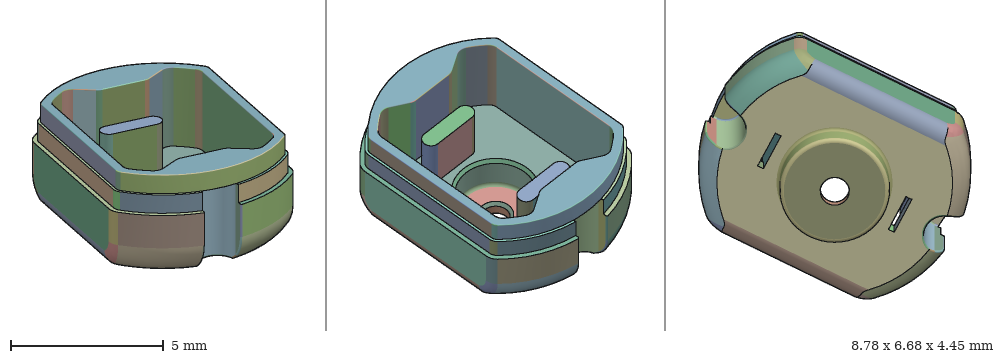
import cadquery as cq
import math

TOTAL_HEIGHT = 4.45
BODY_BOTTOM = 0.895
TIER_HEIGHT = 0.67
MIDDLE_TOP = TOTAL_HEIGHT - TIER_HEIGHT
BODY_TOP = MIDDLE_TOP - TIER_HEIGHT

LENGTH = 8.78
NOTCH_MOUTH_HALF_WIDTH = 0.71
BODY_RADIUS = math.hypot(LENGTH / 2, NOTCH_MOUTH_HALF_WIDTH)
BODY_HALF_WIDTH = 3.34
FLAT_FILLET = 0.55
UNDERSIDE_RADIUS = 1.17
UNDERSIDE_RISE = 1.02

MIDDLE_INSET = 0.17
TOP_INSET = 0.26
RIM_ROUND = 0.03

WALL = 0.34
POCKET_RADIUS = BODY_RADIUS - TOP_INSET - WALL
POCKET_HALF_WIDTH = BODY_HALF_WIDTH - TOP_INSET - WALL
POCKET_FLOOR = 1.59
WAIST_HALF_LENGTH = 2.84
WAIST_HALF_WIDTH = 0.89
WAIST_ANGLE = math.radians(60)
POCKET_CORNER = 0.395

BAR_WIDTH = 0.62
BAR_LENGTH = 2.24
BAR_TOP = 3.39
BAR_CENTRE_X = 1.98
BAR_OFFSET_Y = 0.17
SLOT_WIDTH = 0.21
SLOT_LENGTH = 1.26

BOSS_RADIUS = 1.79
BOSS_ROOT_FILLET = 0.105
BOSS_TIP_FILLET = 0.13
BORE_RADIUS = 1.335
BORE_FLOOR = 0.46
HOLE_RADIUS = 0.47
BORE_EDGE = 0.11

NOTCH_HALF_WIDTH = 0.66
NOTCH_CENTRE_X = 4.0
NOTCH_FILLET = 0.05

MARGIN = 0.04


def between_flats(disc, half_width):
    """Cut a round solid down to two parallel flats facing -Y and +Y."""
    trim = cq.Workplane("XY").box(2 * BODY_RADIUS, 2 * half_width, 2 * TOTAL_HEIGHT)
    return disc.intersect(trim)


def trimmed_disc(inset, bottom, top):
    """A tier of the outer shape, drawn in evenly from the body outline."""
    radius = BODY_RADIUS - inset
    disc = cq.Workplane("XY").workplane(offset=bottom).circle(radius).extrude(top - bottom)
    tier = between_flats(disc, BODY_HALF_WIDTH - inset)
    return tier.edges("|Z").fillet(FLAT_FILLET - inset)


def body():
    """Lowest tier: round ends curve in to the underside, flats are rounded all along."""
    arc_centre = BODY_RADIUS - UNDERSIDE_RADIUS
    arc_top = BODY_BOTTOM + UNDERSIDE_RISE
    end_angle = math.asin(UNDERSIDE_RISE / UNDERSIDE_RADIUS)

    def arc_point(angle):
        x = arc_centre + UNDERSIDE_RADIUS * math.cos(angle)
        z = arc_top - UNDERSIDE_RADIUS * math.sin(angle)
        return (x, z)

    disc = (
        cq.Workplane("XZ")
        .moveTo(0, BODY_TOP)
        .lineTo(BODY_RADIUS, BODY_TOP)
        .lineTo(BODY_RADIUS, arc_top)
        .threePointArc(arc_point(end_angle / 2), arc_point(end_angle))
        .lineTo(0, BODY_BOTTOM)
        .close()
        .revolve(360, (0, 0), (0, 1))
    )
    block = between_flats(disc, BODY_HALF_WIDTH)
    flat_edges = block.faces("<Y or >Y").edges("not >Z")
    return block.newObject(flat_edges.vals()).fillet(FLAT_FILLET)


def notch(side):
    """Cutter for one end notch: a half-cylinder inner end, its top edge rounded under the top tier."""
    outer_x = NOTCH_CENTRE_X + BODY_RADIUS
    slot = (
        cq.Workplane("XY")
        .moveTo(NOTCH_CENTRE_X, -NOTCH_HALF_WIDTH)
        .lineTo(outer_x, -NOTCH_HALF_WIDTH)
        .lineTo(outer_x, NOTCH_HALF_WIDTH)
        .lineTo(NOTCH_CENTRE_X, NOTCH_HALF_WIDTH)
        .threePointArc((NOTCH_CENTRE_X - NOTCH_HALF_WIDTH, 0), (NOTCH_CENTRE_X, -NOTCH_HALF_WIDTH))
        .close()
        .extrude(MIDDLE_TOP)
    )
    open_part = slot.cut(trimmed_disc(TOP_INSET, 0, MIDDLE_TOP))
    rounded = slot.faces(">Z").edges("not >X").fillet(NOTCH_FILLET)
    return rounded.union(open_part).rotate((0, 0, 0), (0, 0, 1), 0 if side > 0 else 180)


def notched_body():
    """Body with both notches cut; their underside outlines and upright edges are rounded."""
    block = body()
    for side in (1, -1):
        block = block.cut(notch(side))
    for side in (1, -1):
        inner_x = NOTCH_CENTRE_X - NOTCH_HALF_WIDTH - MARGIN
        reach_y = NOTCH_HALF_WIDTH + MARGIN
        near = (side * inner_x, -reach_y, BODY_BOTTOM - MARGIN)
        far = (side * BODY_RADIUS, reach_y, BODY_BOTTOM + UNDERSIDE_RISE)
        outline = block.edges(cq.selectors.BoxSelector(near, far))
        block = block.newObject(outline.vals()).fillet(NOTCH_FILLET)
    return block


def pocket():
    """Cutter for the pocket: round ends following the wall, pinched to a waist at each end."""
    flat_end_x = math.sqrt(POCKET_RADIUS**2 - POCKET_HALF_WIDTH**2)
    slant_x = math.cos(WAIST_ANGLE)
    slant_y = math.sin(WAIST_ANGLE)
    along = slant_x * WAIST_HALF_LENGTH + slant_y * WAIST_HALF_WIDTH
    short = POCKET_RADIUS**2 - WAIST_HALF_LENGTH**2 - WAIST_HALF_WIDTH**2
    slant_length = math.sqrt(along**2 + short) - along
    tip_x = WAIST_HALF_LENGTH + slant_x * slant_length
    tip_y = WAIST_HALF_WIDTH + slant_y * slant_length
    middle_angle = (math.atan2(tip_y, tip_x) + math.atan2(POCKET_HALF_WIDTH, flat_end_x)) / 2
    middle_x = POCKET_RADIUS * math.cos(middle_angle)
    middle_y = POCKET_RADIUS * math.sin(middle_angle)
    return (
        cq.Workplane("XY")
        .workplane(offset=POCKET_FLOOR)
        .moveTo(-flat_end_x, POCKET_HALF_WIDTH)
        .lineTo(flat_end_x, POCKET_HALF_WIDTH)
        .threePointArc((middle_x, middle_y), (tip_x, tip_y))
        .lineTo(WAIST_HALF_LENGTH, WAIST_HALF_WIDTH)
        .lineTo(WAIST_HALF_LENGTH, -WAIST_HALF_WIDTH)
        .lineTo(tip_x, -tip_y)
        .threePointArc((middle_x, -middle_y), (flat_end_x, -POCKET_HALF_WIDTH))
        .lineTo(-flat_end_x, -POCKET_HALF_WIDTH)
        .threePointArc((-middle_x, -middle_y), (-tip_x, -tip_y))
        .lineTo(-WAIST_HALF_LENGTH, -WAIST_HALF_WIDTH)
        .lineTo(-WAIST_HALF_LENGTH, WAIST_HALF_WIDTH)
        .lineTo(-tip_x, tip_y)
        .threePointArc((-middle_x, middle_y), (-flat_end_x, POCKET_HALF_WIDTH))
        .close()
        .extrude(TOTAL_HEIGHT - POCKET_FLOOR)
        .edges("|Z")
        .fillet(POCKET_CORNER)
    )


def shell():
    """Body, stepped tiers and pocket, with the rim rounded."""
    middle = trimmed_disc(MIDDLE_INSET, BODY_TOP, MIDDLE_TOP)
    for side in (1, -1):
        middle = middle.cut(notch(side))
    top = trimmed_disc(TOP_INSET, MIDDLE_TOP, TOTAL_HEIGHT)
    hollow = notched_body().union(middle).union(top).cut(pocket())
    return hollow.faces(">Z").edges().fillet(RIM_ROUND)


def add_boss(part):
    """Round boss under the body, rounded at its tip and blended at its root."""
    boss = cq.Workplane("XY").circle(BOSS_RADIUS).extrude(BODY_BOTTOM)
    boss = boss.faces("<Z").edges().fillet(BOSS_TIP_FILLET)
    joined = part.union(boss)
    reach = BOSS_RADIUS + MARGIN
    near = (-reach, -reach, BODY_BOTTOM - MARGIN)
    far = (reach, reach, BODY_BOTTOM + MARGIN)
    circles = joined.edges("%CIRCLE").edges(cq.selectors.BoxSelector(near, far))
    return joined.newObject(circles.vals()).fillet(BOSS_ROOT_FILLET)


def bore():
    """Cutter for the bore and centre hole; mouths are bevelled and the bore floor is rounded."""
    return (
        cq.Workplane("XZ")
        .lineTo(HOLE_RADIUS, 0)
        .lineTo(HOLE_RADIUS, BORE_FLOOR - BORE_EDGE)
        .lineTo(HOLE_RADIUS + BORE_EDGE, BORE_FLOOR)
        .lineTo(BORE_RADIUS - BORE_EDGE, BORE_FLOOR)
        .radiusArc((BORE_RADIUS, BORE_FLOOR + BORE_EDGE), -BORE_EDGE)
        .lineTo(BORE_RADIUS, POCKET_FLOOR - BORE_EDGE)
        .lineTo(BORE_RADIUS + BORE_EDGE, POCKET_FLOOR)
        .lineTo(0, POCKET_FLOOR)
        .close()
        .revolve(360, (0, 0), (0, 1))
    )


def bar(side):
    """Upright round-ended bar standing on the pocket floor."""
    return (
        cq.Workplane("XY")
        .workplane(offset=POCKET_FLOOR)
        .center(side * BAR_CENTRE_X, side * BAR_OFFSET_Y)
        .slot2D(BAR_LENGTH, BAR_WIDTH, 90)
        .extrude(BAR_TOP - POCKET_FLOOR)
    )


def floor_slot(side):
    """Cutter for the slot through the floor, flush with the outer face of a bar."""
    slot_x = BAR_CENTRE_X + (BAR_WIDTH + SLOT_WIDTH) / 2
    return (
        cq.Workplane("XY")
        .center(side * slot_x, 0)
        .rect(SLOT_WIDTH, SLOT_LENGTH)
        .extrude(POCKET_FLOOR)
    )


result = add_boss(shell()).cut(bore())
for side in (1, -1):
    result = result.union(bar(side)).cut(floor_slot(side))